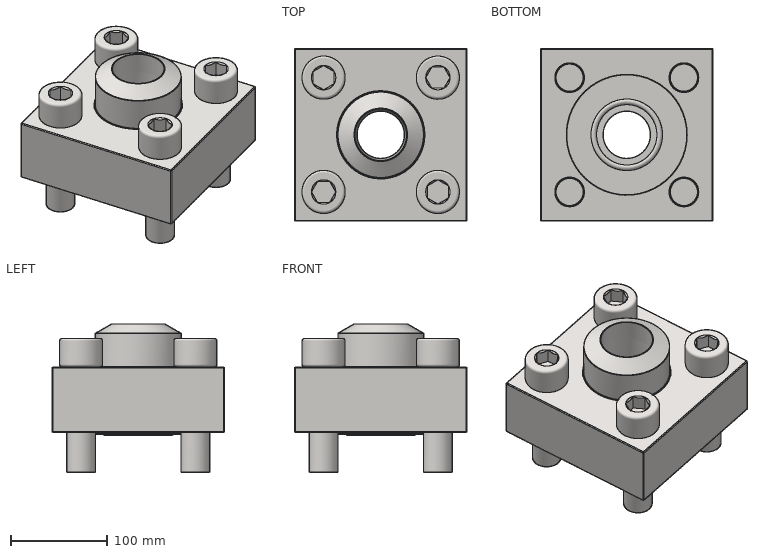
import cadquery as cq
import math

plate_side = 180.0
plate_height = 68.0
plate_edge_chamfer = 1.0
plate_bore_diameter = 92.0

hub_rise = 45.0
hub_drop = 2.0
hub_root_diameter = 90.2
hub_root_rise = 0.5
hub_diameter = 89.6
hub_edge_drop = 0.5
bevel_base_diameter = 89.0
bevel_angle = 30
rim_width = 0.9
counterbore_diameter = 53.8
counterbore_depth = 22.5
bore_diameter = 49.0
collar_diameter = 126.0
collar_face_diameter = 125.0
collar_edge_height = 0.7
collar_height = 36.0

groove_outer_diameter = 74.5
groove_inner_diameter = 62.8
ring_protrusion = 1.0

screw_spacing = 119.0
shank_diameter = 30.0
clearance_diameter = 31.0
shank_projection = 42.0
shank_chamfer = 0.9
head_diameter = 45.0
head_height = 29.9
head_fillet = 2.7
socket_corner_diameter = 25.4
socket_depth = 16.2

hub_bottom = -hub_drop
hub_top = plate_height + hub_rise
head_top = plate_height + head_height
collar_top = hub_bottom + collar_height

ring_radius = (groove_outer_diameter - groove_inner_diameter) / 4
ring_path_radius = (groove_outer_diameter + groove_inner_diameter) / 4
ring_center = hub_bottom - ring_protrusion + ring_radius


def cylinder(diameter, bottom, top):
    return cq.Workplane("XY").workplane(offset=bottom).circle(diameter / 2).extrude(top - bottom)


def make_plate():
    plate = cq.Workplane("XY").box(plate_side, plate_side, plate_height, centered=(True, True, False))
    plate = plate.edges().chamfer(plate_edge_chamfer)
    plate = plate.cut(cylinder(plate_bore_diameter, 0, plate_height))
    collar_recess = cylinder(collar_diameter, 0, collar_top)
    screw_holes = (
        cq.Workplane("XY").rect(screw_spacing, screw_spacing, forConstruction=True)
        .vertices().circle(clearance_diameter / 2).extrude(plate_height)
    )
    return plate.cut(collar_recess).cut(screw_holes)


def make_hub():
    bevel_top_diameter = counterbore_diameter + 2 * rim_width
    bevel_height = (bevel_base_diameter - bevel_top_diameter) / 2 * math.tan(math.radians(bevel_angle))
    bevel_bottom = hub_top - bevel_height
    root_top = plate_height + hub_root_rise
    diameters_and_heights = [
        (bore_diameter, hub_bottom),
        (collar_face_diameter, hub_bottom),
        (collar_diameter, hub_bottom + collar_edge_height),
        (collar_diameter, collar_top),
        (hub_root_diameter, collar_top),
        (hub_root_diameter, root_top),
        (hub_diameter, root_top),
        (hub_diameter, bevel_bottom - hub_edge_drop),
        (bevel_base_diameter, bevel_bottom),
        (bevel_top_diameter, hub_top),
        (counterbore_diameter, hub_top),
        (counterbore_diameter, hub_top - counterbore_depth),
    ]
    profile = [(diameter / 2, height) for diameter, height in diameters_and_heights]
    hub = cq.Workplane("XZ").polyline(profile).close().revolve(360, (0, 0), (0, 1))
    groove_top = ring_center + ring_radius
    groove = cylinder(groove_outer_diameter, hub_bottom, groove_top)
    groove = groove.cut(cylinder(groove_inner_diameter, hub_bottom, groove_top))
    return hub.cut(groove)


def make_ring():
    return (
        cq.Workplane("XZ").center(ring_path_radius, ring_center).circle(ring_radius)
        .revolve(360, (-ring_path_radius, 0), (-ring_path_radius, 1))
    )


def make_socket():
    hexagon = (
        cq.Workplane("XY").workplane(offset=head_top)
        .polygon(6, socket_corner_diameter).extrude(-socket_depth)
    )
    corner_radius = socket_corner_diameter / 2
    countersink = cq.Workplane("XY").add(
        cq.Solid.makeCone(corner_radius, 0, corner_radius, pnt=(0, 0, head_top), dir=(0, 0, -1))
    )
    return hexagon.union(countersink)


def make_screw():
    shank = cylinder(shank_diameter, -shank_projection, plate_height).faces("<Z").chamfer(shank_chamfer)
    head = cylinder(head_diameter, plate_height, head_top).edges().fillet(head_fillet)
    return shank.union(head).cut(make_socket())


plate = make_plate()
hub = make_hub()
ring = make_ring()
screws = []
for quarter in range(4):
    screw = make_screw().translate((screw_spacing / 2, screw_spacing / 2, 0))
    screws.append(screw.rotate((0, 0, 0), (0, 0, 1), 90 * quarter).val())

result = cq.Compound.makeCompound([plate.val(), hub.val(), ring.val(), *screws])